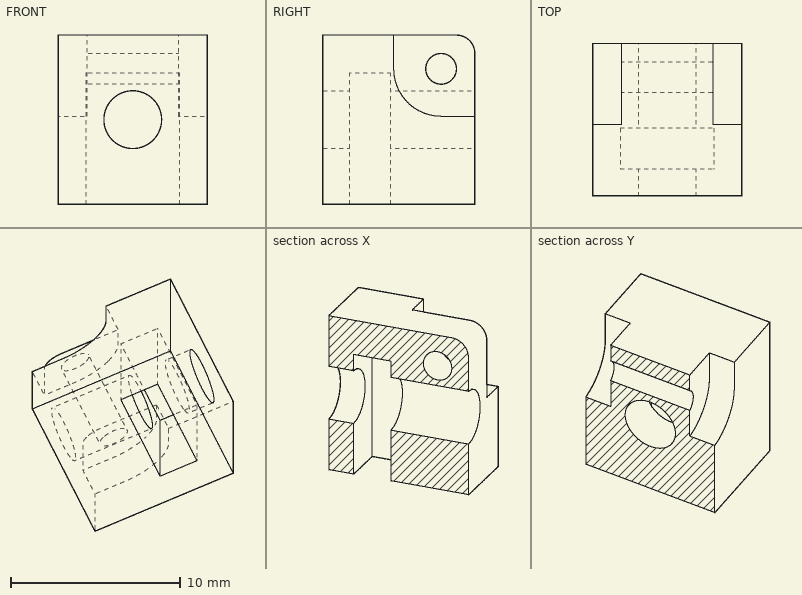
import cadquery as cq

width = 8.8
depth = 9.0
height = 10.0

lug_width = 5.4
notch_width = (width - lug_width) / 2
pivot_inset = 2.0
pivot_diameter = 1.8
clearance_radius = 2.8
lug_edge_radius = 1.1
pivot_y = depth - pivot_inset
pivot_z = height - pivot_inset

screw_diameter = 3.4
screw_z = height / 2
nut_width = 5.5
nut_thickness = 2.4
nut_slot_front = 1.6
nut_slot_top = screw_z + nut_width / 2


def make_block():
    """Body with the top back edge rounded."""
    block = cq.Workplane("XY").box(width, depth, height, centered=(True, False, False))
    return block.edges(">Y and >Z").fillet(lug_edge_radius)


def make_notch(start_x):
    """Clearance cutter whose rounded inner corner is concentric with the pivot."""
    return (
        cq.Workplane("YZ", origin=(start_x, 0, 0))
        .moveTo(depth, height)
        .lineTo(pivot_y - clearance_radius, height)
        .lineTo(pivot_y - clearance_radius, pivot_z)
        .radiusArc((pivot_y, pivot_z - clearance_radius), -clearance_radius)
        .lineTo(depth, pivot_z - clearance_radius)
        .close()
        .extrude(notch_width)
    )


def make_pivot_hole():
    """Pin hole along X through the lug."""
    return (
        cq.Workplane("YZ")
        .center(pivot_y, pivot_z)
        .circle(pivot_diameter / 2)
        .extrude(width / 2, both=True)
    )


def make_screw_hole():
    """Bore along Y through the full depth."""
    return (
        cq.Workplane("XZ", origin=(0, depth, 0))
        .center(0, screw_z)
        .circle(screw_diameter / 2)
        .extrude(depth)
    )


def make_nut_slot():
    """Slot for a captive nut, running from the underside to above the screw axis."""
    return (
        cq.Workplane("XY")
        .box(nut_width, nut_thickness, nut_slot_top, centered=(True, False, False))
        .translate((0, nut_slot_front, 0))
    )


result = make_block()
for notch_start in (-width / 2, lug_width / 2):
    result = result.cut(make_notch(notch_start))
result = result.cut(make_pivot_hole())
result = result.cut(make_screw_hole())
result = result.cut(make_nut_slot())